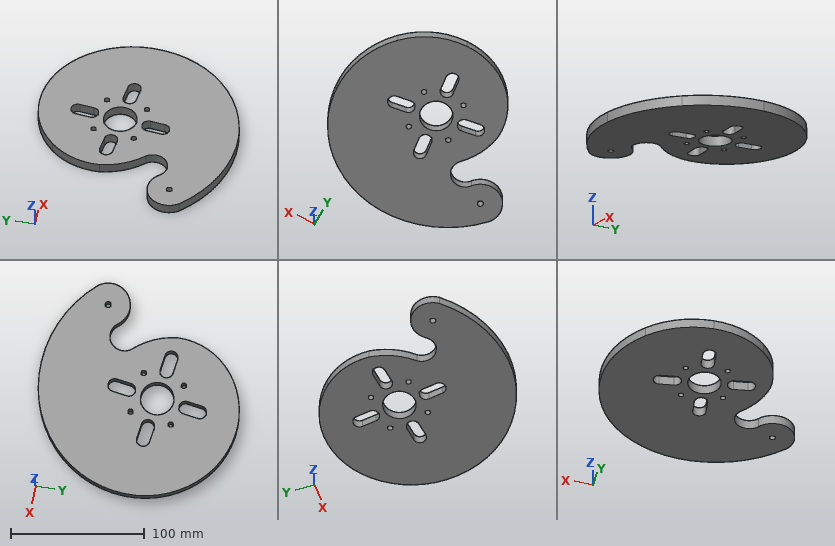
import cadquery as cq
import math

thickness = 8.0
axis_angle = 217.0
inner_radius = 42.9
outer_radius = 98.4
notch_diameter = 22.2
arc_count = 8
first_arc_inset = 0.8

bore_diameter = 25.0
pattern_count = 4
pattern_angle = axis_angle - 180.0
screw_diameter = 4.0
screw_circle_radius = 22.4
slot_width = 10.0
slot_center_spacing = 11.3
slot_circle_radius = 28.0
tail_hole_diameter = 4.5

notch_end_radius = inner_radius + notch_diameter
notch_center_radius = inner_radius + notch_diameter / 2
tail_center_radius = (notch_end_radius + outer_radius) / 2
tail_radius = (outer_radius - notch_end_radius) / 2


def polar(radius, angle):
    """Point at a radius and an angle in degrees around the bore."""
    return (radius * math.cos(math.radians(angle)), radius * math.sin(math.radians(angle)))


def spiral_point(turn, inset=0):
    """Point on the spiral, running clockwise; turn goes from 0 to 1, inset moves it inward."""
    radius = inner_radius + (outer_radius - inner_radius) * turn - inset
    return polar(radius, axis_angle - 360.0 * turn)


def beside_axis(radius, offset):
    """Point on the hook axis moved sideways by an offset, clockwise positive."""
    x, y = polar(radius, axis_angle)
    dx, dy = polar(offset, axis_angle - 90.0)
    return (x + dx, y + dy)


def plate():
    outline = cq.Workplane("XY").moveTo(*spiral_point(0))
    for index in range(arc_count):
        inset = first_arc_inset if index == 0 else 0
        middle = spiral_point((index + 0.5) / arc_count, inset)
        end = spiral_point((index + 1) / arc_count)
        outline = outline.threePointArc(middle, end)
    outline = outline.threePointArc(
        beside_axis(tail_center_radius, tail_radius),
        polar(notch_end_radius, axis_angle),
    )
    outline = outline.threePointArc(
        beside_axis(notch_center_radius, -notch_diameter / 2),
        spiral_point(0),
    )
    return outline.close().extrude(thickness)


def hole(center, diameter):
    return cq.Workplane("XY").center(*center).circle(diameter / 2).extrude(thickness)


def radial_slot(angle):
    slot = cq.Workplane("XY").center(slot_circle_radius, 0)
    slot = slot.slot2D(slot_center_spacing + slot_width, slot_width).extrude(thickness)
    return slot.rotate((0, 0, 0), (0, 0, 1), angle)


result = plate()
result = result.cut(hole((0, 0), bore_diameter))
result = result.cut(hole(polar(tail_center_radius, axis_angle), tail_hole_diameter))

pattern_step = 360.0 / pattern_count
for index in range(pattern_count):
    screw_angle = pattern_angle + index * pattern_step
    result = result.cut(hole(polar(screw_circle_radius, screw_angle), screw_diameter))
    result = result.cut(radial_slot(screw_angle + pattern_step / 2))